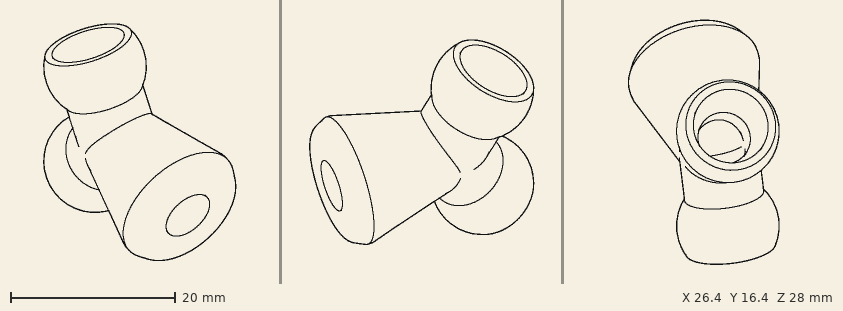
import cadquery as cq
import math

leg_angle = 120.0
ball_distance = 10.0
ball_radius = 6.28
ball_face_radius = 5.53
neck_radius = 4.88

passage_radius = 3.23
mouth_radius = 4.6
cavity_distance = 9.5
cavity_radius = 4.7

bell_length = 15.1
bell_radius = 8.2
rim_start = 12.57
rim_width = 0.5
bell_end_radius = 7.25
bell_end_fillet = 1.35


def chord_offset(sphere_radius, circle_radius):
    """Leg of the right triangle joining a sphere's centre to a circle on the sphere."""
    return math.sqrt(sphere_radius**2 - circle_radius**2)


face_distance = ball_distance + chord_offset(ball_radius, ball_face_radius)
neck_distance = ball_distance - chord_offset(ball_radius, neck_radius)
mouth_floor = cavity_distance - chord_offset(cavity_radius, mouth_radius)
cavity_floor = cavity_distance - chord_offset(cavity_radius, passage_radius)


def point_on_leg(solid, direction):
    """Swing a solid built along +X onto the upper (1) or lower (-1) leg axis."""
    return solid.rotate((0, 0, 0), (0, 1, 0), -direction * leg_angle)


def make_leg():
    """Neck and truncated ball, revolved about +X."""
    ball_side = (ball_distance, ball_radius)
    return (
        cq.Workplane("XY")
        .lineTo(0, neck_radius)
        .lineTo(neck_distance, neck_radius)
        .threePointArc(ball_side, (face_distance, ball_face_radius))
        .lineTo(face_distance, 0)
        .close()
        .revolve(360, (0, 0, 0), (1, 0, 0))
    )


def make_leg_bore():
    """Passage opening through a spherical step into the wider mouth."""
    step_x = (cavity_floor + mouth_floor) / 2
    step_middle = (step_x, chord_offset(cavity_radius, cavity_distance - step_x))
    return (
        cq.Workplane("XY")
        .lineTo(0, passage_radius)
        .lineTo(cavity_floor, passage_radius)
        .threePointArc(step_middle, (mouth_floor, mouth_radius))
        .lineTo(face_distance, mouth_radius)
        .lineTo(face_distance, 0)
        .close()
        .revolve(360, (0, 0, 0), (1, 0, 0))
    )


def make_bell():
    """Flared cone with a narrow rim and a tapered, rounded end."""
    outline = [
        (0, 0),
        (0, neck_radius),
        (rim_start, bell_radius),
        (rim_start + rim_width, bell_radius),
        (bell_length, bell_end_radius),
        (bell_length, 0),
    ]
    bell = cq.Workplane("XY").polyline(outline).close().revolve(360, (0, 0, 0), (1, 0, 0))
    return bell.faces(">X").edges().fillet(bell_end_fillet)


def make_bell_bore():
    return cq.Workplane("YZ").circle(passage_radius).extrude(bell_length)


body = make_bell()
passages = make_bell_bore()
for direction in (1, -1):
    body = body.union(point_on_leg(make_leg(), direction))
    passages = passages.union(point_on_leg(make_leg_bore(), direction))

result = body.cut(passages)